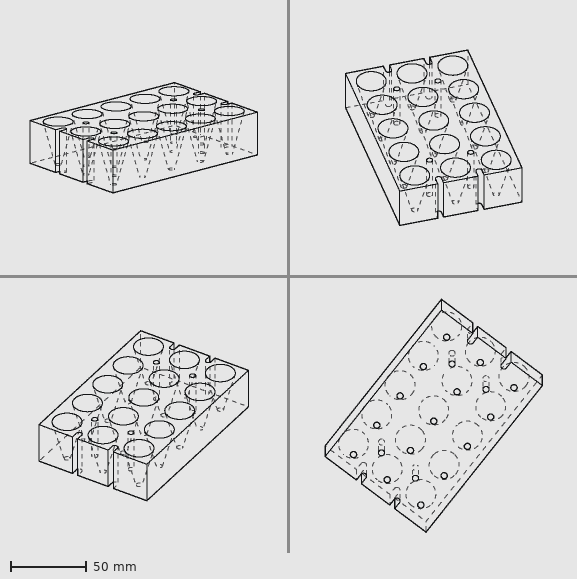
import cadquery as cq

WIDTH = 85.0
LENGTH = 127.0
HEIGHT = 30.0

WELL_COLUMNS = 3
WELL_ROWS = 5
WELL_PITCH_X = 28.3
WELL_PITCH_Y = 25.4
WELL_DIAMETER = 20.0
OPENING_DIAMETER = 4.1

HOLE_DIAMETER = 4.1
HOLE_SPACING_X = 28.6
HOLE_SPACING_Y = 77.0

SLOT_WIDTH = 4.1
SLOT_DEPTH = 7.1
SLOT_SPACING = 28.1


def make_well():
    """Revolved conical tool, from the top face down to the bottom face."""
    well_radius = WELL_DIAMETER / 2
    opening_radius = OPENING_DIAMETER / 2
    return (
        cq.Workplane("XZ")
        .moveTo(0, HEIGHT)
        .lineTo(well_radius, HEIGHT)
        .lineTo(opening_radius, 0)
        .lineTo(0, 0)
        .close()
        .revolve(360, (0, 0, 0), (0, 1, 0))
    )


def make_slots():
    """Slot tools, each centred on an end face so its inner half cuts the block."""
    return (
        cq.Workplane("XY")
        .rarray(SLOT_SPACING, LENGTH, 2, 2)
        .slot2D(2 * SLOT_DEPTH, SLOT_WIDTH, 90)
        .extrude(HEIGHT)
    )


def make_holes():
    return (
        cq.Workplane("XY")
        .rarray(HOLE_SPACING_X, HOLE_SPACING_Y, 2, 2)
        .circle(HOLE_DIAMETER / 2)
        .extrude(HEIGHT)
    )


block = cq.Workplane("XY").box(WIDTH, LENGTH, HEIGHT, centered=(True, True, False))
block = block.cut(make_slots()).cut(make_holes())

well = make_well()
for column in range(WELL_COLUMNS):
    for row in range(WELL_ROWS):
        x = (column - (WELL_COLUMNS - 1) / 2) * WELL_PITCH_X
        y = (row - (WELL_ROWS - 1) / 2) * WELL_PITCH_Y
        block = block.cut(well.translate((x, y, 0)))

result = block